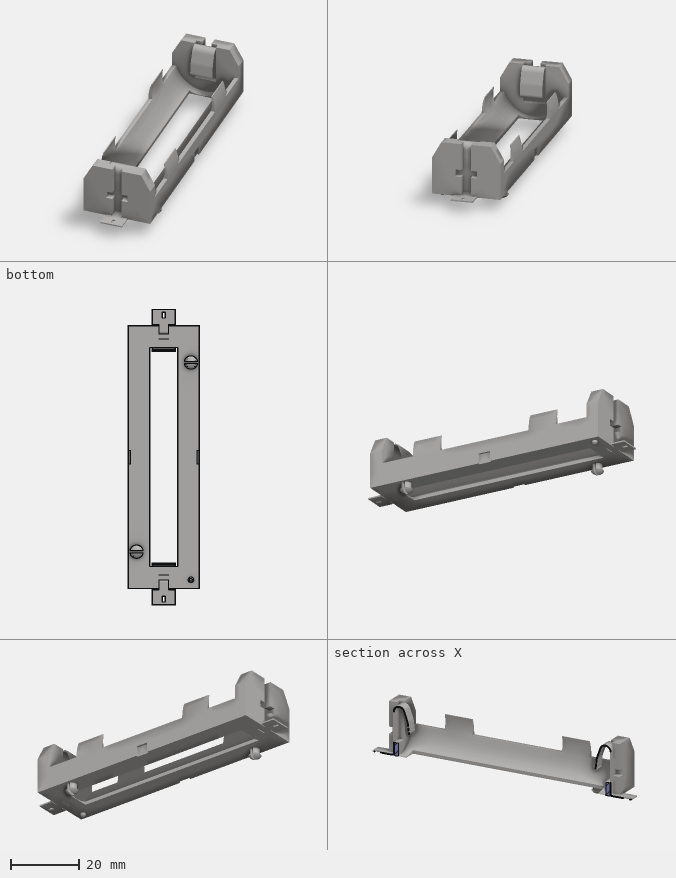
import cadquery as cq
import math

housing_width = 20.8
housing_length = 76.9
housing_height = 16.2
end_wall = 4.0
side_wall_height = 7.0
shoulder_width = 2.85
shoulder_height = 5.0

cradle_radius = 9.5
cradle_axis_height = 9.7
floor_window_width = 8.1
floor_window_length = 64.0

tab_length = 9.2
tab_top = 12.0
tab_blank_depth = 0.5
tab_distance = 19.5
tab_outer_radius = 14.3

notch_length = 3.9
notch_height = 3.1
notch_depth = 0.7

overall_length = 86.4
strip = 0.4
contact_width = 6.7
neck_width = 2.85
shoulder_gap = 0.3
foot_bend_radius = 0.3
crown_height = 15.7
crown_radius = 2.0
crown_turn = 160
upper_leaf = 3.1
knee_turn = 13
knee_radius = 3.5
lower_leaf = 2.8
tip_turn = 40
tip_radius = 0.8
wing_bottom = 6.0
wing_top = 8.1
solder_slot_width = 0.9
solder_slot_length = 1.6
solder_slot_margin = 0.9

seat_depth = 1.5
seat_floor = 4.2

pin_x = 7.95
pin_y = 27.7
pin_diameter = 2.9
pin_shank = 2.0
pin_head_diameter = 3.9
pin_head_height = 1.1
pin_slit = 0.7
peg_y = 35.9
peg_diameter = 1.6
peg_length = 1.0
peg_chamfer = 0.4

half_width = housing_width / 2
half_length = housing_length / 2
wall_inner_y = half_length - end_wall
seat_back_y = wall_inner_y + seat_depth
plate_outer_y = seat_back_y + strip
shoulder_y = half_length + shoulder_gap


def block(x_size, y_min, y_max, z_min, z_max):
    """Box centred on X = 0 between the given Y and Z limits."""
    box = cq.Workplane("XY").box(x_size, y_max - y_min, z_max - z_min, centered=(True, False, False))
    return box.translate((0, y_min, z_min))


def both_ends(shape):
    """The shape at the +Y end together with its half-turn copy at the -Y end."""
    return shape.union(shape.rotate((0, 0, 0), (0, 0, 1), 180))


def end_wall_block():
    """Solid end wall with its two upper corners cut off at a slant."""
    return (
        cq.Workplane("XZ", origin=(0, half_length, 0))
        .moveTo(-half_width, 0)
        .lineTo(half_width, 0)
        .lineTo(half_width, housing_height - shoulder_height)
        .lineTo(half_width - shoulder_width, housing_height)
        .lineTo(shoulder_width - half_width, housing_height)
        .lineTo(-half_width, housing_height - shoulder_height)
        .close()
        .extrude(end_wall)
    )


def cradle():
    """Trough between the end walls, with the four tabs that curve over the cell."""
    trough = block(housing_width, -wall_inner_y, wall_inner_y, 0, side_wall_height)
    for side in (-1, 1):
        for end in (-1, 1):
            trough = trough.union(retaining_tab(side, end * tab_distance))
    bore = (
        cq.Workplane("XZ", origin=(0, wall_inner_y, cradle_axis_height))
        .circle(cradle_radius)
        .extrude(2 * wall_inner_y)
    )
    window = block(floor_window_width, -floor_window_length / 2, floor_window_length / 2, 0, side_wall_height)
    return trough.cut(bore).cut(window)


def retaining_tab(side, y_centre):
    """Tab blank whose outer face leans inwards in an arc; the cradle bore trims its inner face."""
    rise = tab_top - side_wall_height
    arc_centre_x = half_width - tab_outer_radius
    mid_angle = math.asin(rise / tab_outer_radius) / 2
    tip_outer_x = arc_centre_x + math.sqrt(tab_outer_radius**2 - rise**2)
    arc_mid = (
        arc_centre_x + tab_outer_radius * math.cos(mid_angle),
        side_wall_height + tab_outer_radius * math.sin(mid_angle),
    )
    inner_x = tip_outer_x - tab_blank_depth
    blank = (
        cq.Workplane("XZ", origin=(0, y_centre + tab_length / 2, 0))
        .moveTo(inner_x, side_wall_height)
        .lineTo(half_width, side_wall_height)
        .threePointArc(arc_mid, (tip_outer_x, tab_top))
        .lineTo(inner_x, tab_top)
        .close()
        .extrude(tab_length)
    )
    return blank if side > 0 else blank.mirror("YZ")


def contact_seat():
    """Slot, wing window and spring pocket cut into the end wall at +Y."""
    slot = block(neck_width, seat_back_y, half_length, 0, housing_height)
    wing_window = block(contact_width, seat_back_y, half_length, wing_bottom, wing_top)
    pocket = block(contact_width, wall_inner_y, seat_back_y, seat_floor, housing_height)
    return slot.union(wing_window).union(pocket)


def snap_pin(x, y):
    """Slit pin with a domed head, hanging from the housing bottom."""
    shank_radius = pin_diameter / 2
    head_radius = pin_head_diameter / 2
    tip_z = -pin_shank - pin_head_height
    dome_radius = (head_radius**2 + pin_head_height**2) / (2 * pin_head_height)
    half_dome = math.asin(head_radius / dome_radius) / 2
    dome_mid = (
        dome_radius * math.sin(half_dome),
        tip_z + dome_radius * (1 - math.cos(half_dome)),
    )
    pin = (
        cq.Workplane("XZ")
        .lineTo(shank_radius, 0)
        .lineTo(shank_radius, -pin_shank)
        .lineTo(head_radius, -pin_shank)
        .threePointArc(dome_mid, (0, tip_z))
        .close()
        .revolve(360, (0, 0, 0), (0, 1, 0))
    )
    slit = block(pin_head_diameter, -pin_slit / 2, pin_slit / 2, tip_z, 0)
    return pin.cut(slit).translate((x, y, 0))


def locating_peg():
    """Small chamfered peg under the end wall at +Y."""
    return (
        cq.Workplane("XY", origin=(pin_x, peg_y, -peg_length))
        .circle(peg_diameter / 2)
        .extrude(peg_length)
        .faces("<Z")
        .chamfer(peg_chamfer)
    )


def side_notches():
    """Material removed from the lower middle of both side walls."""
    full = block(housing_width, -notch_length / 2, notch_length / 2, 0, notch_height)
    core = block(housing_width - 2 * notch_depth, -notch_length / 2, notch_length / 2, 0, notch_height)
    return full.cut(core)


def make_housing():
    body = cradle().union(both_ends(end_wall_block()))
    body = body.cut(both_ends(contact_seat())).cut(side_notches())
    body = body.union(snap_pin(-pin_x, pin_y)).union(snap_pin(pin_x, -pin_y))
    return body.union(locating_peg())


def bent_path(start, heading, legs):
    """Path in the YZ plane made of straight legs, each followed by a tangent bend.

    A leg is (straight length, turn in degrees, bend radius); turns are positive
    counter-clockwise with Y to the right and Z up.
    """
    y, z = start
    path = cq.Workplane("YZ").moveTo(y, z)
    angle = math.radians(heading)
    for length, turn, radius in legs:
        y += length * math.cos(angle)
        z += length * math.sin(angle)
        path = path.lineTo(y, z)
        side = math.copysign(radius, turn)
        centre_y = y - side * math.sin(angle)
        centre_z = z + side * math.cos(angle)
        middle = angle + math.radians(turn) / 2
        angle += math.radians(turn)
        y = centre_y + side * math.sin(angle)
        z = centre_z - side * math.cos(angle)
        path = path.threePointArc(
            (centre_y + side * math.sin(middle), centre_z - side * math.cos(middle)), (y, z)
        )
    return path


def make_contact():
    """Bent spring strip at the +Y end: solder tab, neck, back plate with wings, and spring leaf."""
    tab_end_y = overall_length / 2
    foot_radius = foot_bend_radius + strip / 2
    plate_y = plate_outer_y - strip / 2
    legs = [
        (tab_end_y - plate_y - foot_radius, -90, foot_radius),
        (crown_height - crown_radius - strip / 2 - foot_radius, crown_turn, crown_radius - strip / 2),
        (upper_leaf, knee_turn, knee_radius),
        (lower_leaf, tip_turn, tip_radius),
    ]
    path = bent_path((tab_end_y, strip / 2), 180, legs)
    ribbon = (
        cq.Workplane("XZ", origin=(0, tab_end_y, strip / 2))
        .rect(contact_width, strip)
        .sweep(path)
    )
    trim = block(contact_width, seat_back_y, shoulder_y, 0, housing_height)
    trim = trim.cut(block(neck_width, seat_back_y, shoulder_y, 0, housing_height))
    trim = trim.cut(block(contact_width, seat_back_y, half_length, wing_bottom, wing_top))
    slot_end_y = tab_end_y - solder_slot_margin
    solder_slot = block(solder_slot_width, slot_end_y - solder_slot_length, slot_end_y, 0, strip)
    return ribbon.cut(trim).cut(solder_slot)


housing = make_housing().solids().val()
contacts = []
for turn in (0, 180):
    contact = make_contact().rotate((0, 0, 0), (0, 0, 1), turn)
    contacts.append(contact.solids().val())

result = cq.Compound.makeCompound([housing, *contacts])